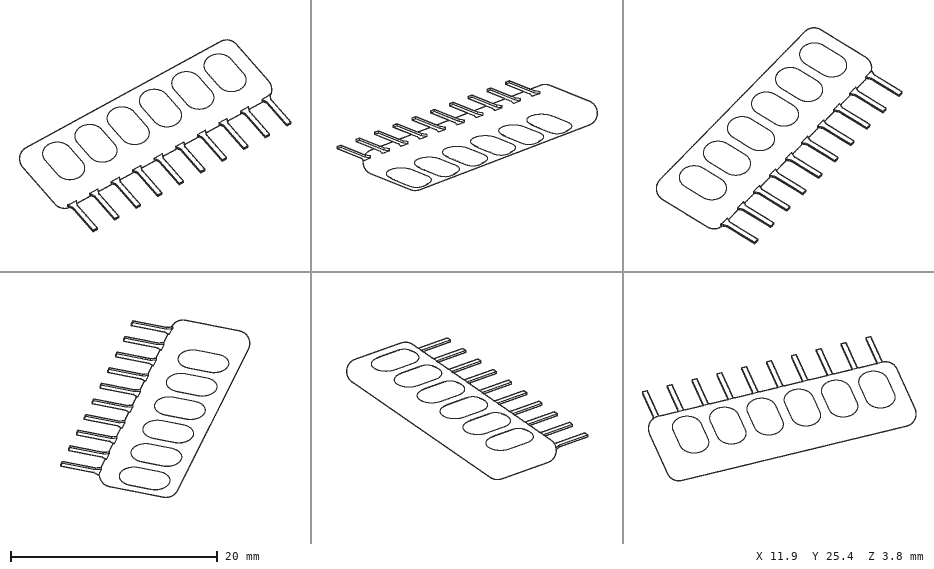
import cadquery as cq

body_width = 7.99
body_length = 25.35
body_thickness = 2.5
end_radius = 1.2

bulge_count = 6
bulge_pitch = 3.8
bulge_radius = 1.9
bulge_straight = 2.15
bulge_row_y = -0.15

pin_count = 10
pin_pitch = 2.54
pin_reach = 3.9
pin_width = 0.5
pin_thickness = 0.23
neck_length = 0.5
neck_slope = 0.45
pin_embed = 0.75


def row(count, pitch, middle=0.0):
    """Evenly spaced Y positions on both sides of the middle."""
    return [middle + (i - (count - 1) / 2) * pitch for i in range(count)]


def make_body():
    """Bar with fully round long sides and rounded ends."""
    return (
        cq.Workplane("XZ")
        .slot2D(body_width, body_thickness)
        .extrude(body_length / 2, both=True)
        .faces("<Y or >Y")
        .edges()
        .fillet(end_radius)
    )


def make_bulge(y):
    """Capsule lying along X, buried in the middle of the body."""
    half_straight = bulge_straight / 2
    return (
        cq.Workplane("XY")
        .moveTo(-half_straight - bulge_radius, 0)
        .radiusArc((-half_straight, bulge_radius), bulge_radius)
        .lineTo(half_straight, bulge_radius)
        .radiusArc((half_straight + bulge_radius, 0), bulge_radius)
        .close()
        .revolve(360, (0, 0, 0), (1, 0, 0))
        .translate((0, y, 0))
    )


def make_pin(y):
    """Flat pin whose neck widens towards the body."""
    side_x = body_width / 2
    root_x = side_x - pin_embed
    neck_x = side_x + neck_length
    half_width = pin_width / 2
    half_root = half_width + neck_slope * (neck_x - root_x)
    outline = [
        (root_x, -half_root),
        (neck_x, -half_width),
        (side_x + pin_reach, -half_width),
        (side_x + pin_reach, half_width),
        (neck_x, half_width),
        (root_x, half_root),
    ]
    return (
        cq.Workplane("XY")
        .polyline(outline)
        .close()
        .extrude(pin_thickness / 2, both=True)
        .translate((0, y, 0))
    )


result = make_body()
for bulge_y in row(bulge_count, bulge_pitch, bulge_row_y):
    result = result.union(make_bulge(bulge_y))
for pin_y in row(pin_count, pin_pitch):
    result = result.union(make_pin(pin_y))